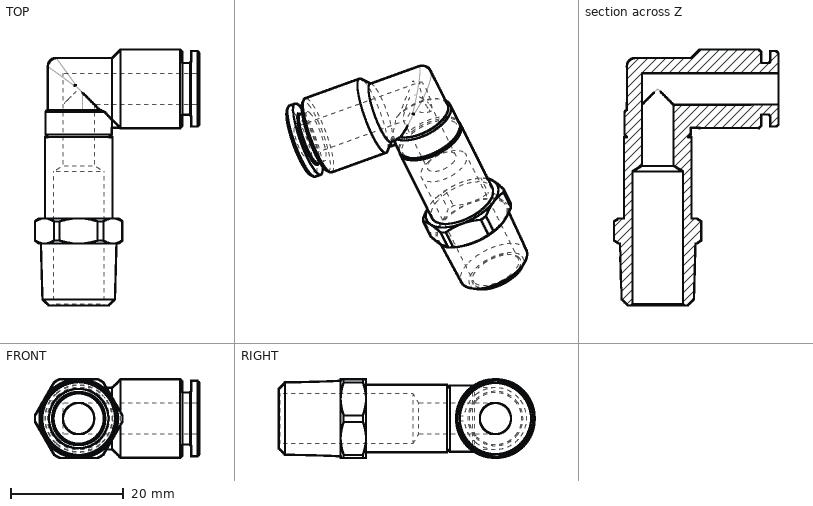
import cadquery as cq
import math


elbow_radius = 5.5
corner_fillet = 1.5
pole_margin = 0.05
fillet_half_height = elbow_radius - pole_margin

collar_radius = 5.9
collar_start = 3.75
collar_end = 8.55
collar_top_chamfer = 0.35
collar_bottom_chamfer = 0.45
stem_radius = 6.0
hex_start = 23.0
hex_end = 27.5
thread_chamfer_start = 37.35
stem_end = 38.5
thread_root_radius = 6.75
thread_tip_radius = 6.45
thread_end_radius = 5.3

hex_flats = 14.0
hex_corner_radius = 7.8
hex_chamfer_length = 0.55

body_radius = 7.0
body_taper = body_radius - elbow_radius
body_cone_start = 5.95
body_cone_end = body_cone_start + body_taper
body_end = 18.45
body_chamfer = 0.45
collet_neck_radius = 4.65
flange_radius = 6.75
flange_start = 19.97
neck_flare = 0.25
arm_end = 21.48
flange_chamfer = 0.4

rib_thickness = 0.9
rib_reach = 6.9

bore_radius = 2.78
stem_bore_radius = 4.45
stem_bore_mouth_radius = 4.75
mouth_chamfer = stem_bore_mouth_radius - stem_bore_radius
stem_bore_floor = 13.65
floor_cone_length = 1.0


def turned_stem(profile):
    """Revolve (radius, distance) points about the Y axis, distance towards -Y."""
    points = [(radius, -distance) for radius, distance in profile]
    return cq.Workplane("XY").polyline(points).close().revolve(360, (0, 0), (0, 1))


def turned_arm(profile):
    """Revolve (distance, radius) points about the X axis."""
    return cq.Workplane("XY").polyline(profile).close().revolve(360, (0, 0), (1, 0))


def mitred_elbow():
    """Two equal cylinders mitred at the corner, with the outer mitre edge rounded."""
    leg = body_cone_start
    arm_leg = cq.Workplane("YZ").workplane(offset=-leg).circle(elbow_radius).extrude(2 * leg)
    stem_leg = cq.Workplane("XZ").workplane(offset=-leg).circle(elbow_radius).extrude(2 * leg)

    def half_space(corner):
        triangle = [(-leg, leg), (leg, -leg), corner]
        return cq.Workplane("XY").polyline(triangle).close().extrude(elbow_radius, both=True)

    arm_half = arm_leg.intersect(half_space((leg, leg)))
    stem_half = stem_leg.intersect(half_space((-leg, -leg)))
    elbow = arm_half.union(stem_half)
    outer_mitre = cq.selectors.BoxSelector((-leg, 0, -leg), (0, leg, leg))
    middle = cq.Workplane("XY").box(4 * leg, 4 * leg, 2 * fillet_half_height)
    rounded = elbow.intersect(middle).edges(outer_mitre).fillet(corner_fillet)
    return elbow.cut(middle).union(rounded)


def stem():
    return turned_stem([
        (0, collar_start),
        (collar_radius - collar_top_chamfer, collar_start),
        (collar_radius, collar_start + collar_top_chamfer),
        (collar_radius, collar_end - collar_bottom_chamfer),
        (collar_radius - collar_bottom_chamfer, collar_end),
        (stem_radius, collar_end),
        (stem_radius, hex_end),
        (thread_root_radius, hex_end),
        (thread_tip_radius, thread_chamfer_start),
        (thread_end_radius, stem_end),
        (0, stem_end),
    ])


def hexagon():
    """Hexagon with two flats facing Z, its corners turned down and chamfered."""
    hex_diameter = hex_flats / math.cos(math.pi / 6)
    prism = (
        cq.Workplane("XZ")
        .workplane(offset=hex_start)
        .polygon(6, hex_diameter)
        .extrude(hex_end - hex_start)
    )
    end_radius = hex_flats / 2
    envelope = turned_stem([
        (0, hex_start),
        (end_radius, hex_start),
        (hex_corner_radius, hex_start + hex_chamfer_length),
        (hex_corner_radius, hex_end - hex_chamfer_length),
        (end_radius, hex_end),
        (0, hex_end),
    ])
    return prism.intersect(envelope)


def arm():
    return turned_arm([
        (body_cone_start, 0),
        (body_cone_start, elbow_radius),
        (body_cone_end, body_radius),
        (body_end - body_chamfer, body_radius),
        (body_end, body_radius - body_chamfer),
        (body_end, collet_neck_radius),
        (flange_start - neck_flare, collet_neck_radius),
        (flange_start, collet_neck_radius + neck_flare),
        (flange_start, flange_radius),
        (arm_end - flange_chamfer, flange_radius),
        (arm_end, flange_radius - flange_chamfer),
        (arm_end, 0),
    ])


def corner_rib():
    return (
        cq.Workplane("XY")
        .rect(body_cone_end, -rib_reach, centered=False)
        .extrude(rib_thickness / 2, both=True)
    )


def stem_bore():
    """Wide stem bore with a coned floor, narrowing to the bore that reaches the elbow."""
    return turned_stem([
        (0, 0),
        (bore_radius, 0),
        (bore_radius, stem_bore_floor),
        (stem_bore_radius, stem_bore_floor + floor_cone_length),
        (stem_bore_radius, stem_end - mouth_chamfer),
        (stem_bore_mouth_radius, stem_end),
        (0, stem_end),
    ])


def arm_bore():
    """Arm bore, started far enough back to span the full width of the stem bore."""
    return (
        cq.Workplane("YZ")
        .workplane(offset=-bore_radius)
        .circle(bore_radius)
        .extrude(arm_end + bore_radius)
    )


fitting = mitred_elbow().union(stem()).union(hexagon()).union(arm()).union(corner_rib())
result = fitting.cut(stem_bore()).cut(arm_bore())